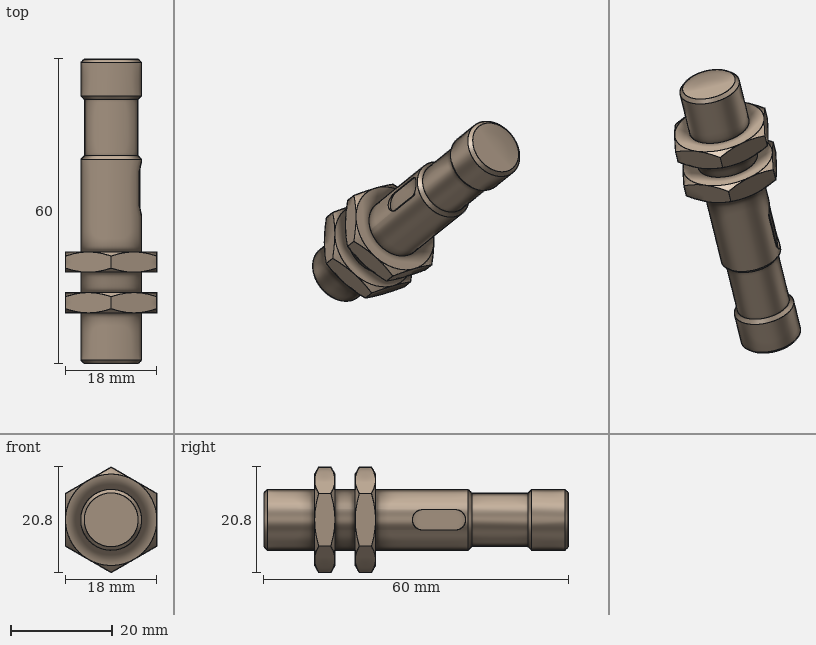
import cadquery as cq
import math

body_length = 60.0
body_diameter = 12.0
end_chamfer = 0.7

neck_start = 41.0
neck_end = 52.0
shoulder_chamfer = 0.75
neck_diameter = body_diameter - 2 * shoulder_chamfer

window_length = 10.5
window_width = 4.0
window_center = 34.5
window_depth = 0.5

nut_across_flats = 18.0
nut_thickness = 4.0
nut_starts = (10.0, 18.0)
nut_chamfer_angle = math.radians(30)
nut_across_corners = nut_across_flats / math.cos(math.pi / 6)


def revolve_about_y(profile):
    """Turn a closed (radius, y) outline into a solid of revolution about Y."""
    return cq.Workplane("XY").polyline(profile).close().revolve(360, (0, 0, 0), (0, 1, 0))


def make_window_cutter():
    """Round-ended slot cutter that enters the barrel from +X."""
    floor = body_diameter / 2 - window_depth
    return (
        cq.Workplane("YZ", origin=(floor, window_center, 0))
        .slot2D(window_length, window_width)
        .extrude(2 * window_depth)
    )


def make_sensor():
    """Barrel, neck and connector head turned as one piece, with the side window."""
    radius = body_diameter / 2
    neck_radius = neck_diameter / 2
    end_radius = radius - end_chamfer
    profile = [
        (0, 0),
        (end_radius, 0),
        (radius, end_chamfer),
        (radius, neck_start - shoulder_chamfer),
        (neck_radius, neck_start),
        (neck_radius, neck_end),
        (radius, neck_end + shoulder_chamfer),
        (radius, body_length - end_chamfer),
        (end_radius, body_length),
        (0, body_length),
    ]
    return revolve_about_y(profile).cut(make_window_cutter())


def make_nut(start):
    """Hexagon nut from Y = start, bored to fit the barrel, corners chamfered on both faces."""
    face_radius = nut_across_flats / 2
    corner_radius = nut_across_corners / 2
    chamfer_height = (corner_radius - face_radius) * math.tan(nut_chamfer_angle)
    end = start + nut_thickness
    hexagon = (
        cq.Workplane("XZ", origin=(0, start, 0))
        .transformed(rotate=(0, 0, 90))
        .polygon(6, nut_across_corners)
        .extrude(-nut_thickness)
    )
    bore_radius = body_diameter / 2
    chamfered_ring = revolve_about_y([
        (bore_radius, start),
        (face_radius, start),
        (corner_radius, start + chamfer_height),
        (corner_radius, end - chamfer_height),
        (face_radius, end),
        (bore_radius, end),
    ])
    return hexagon.intersect(chamfered_ring)


sensor = make_sensor()
nuts = [make_nut(start) for start in nut_starts]

result = cq.Compound.makeCompound([sensor.val(), *[nut.val() for nut in nuts]])